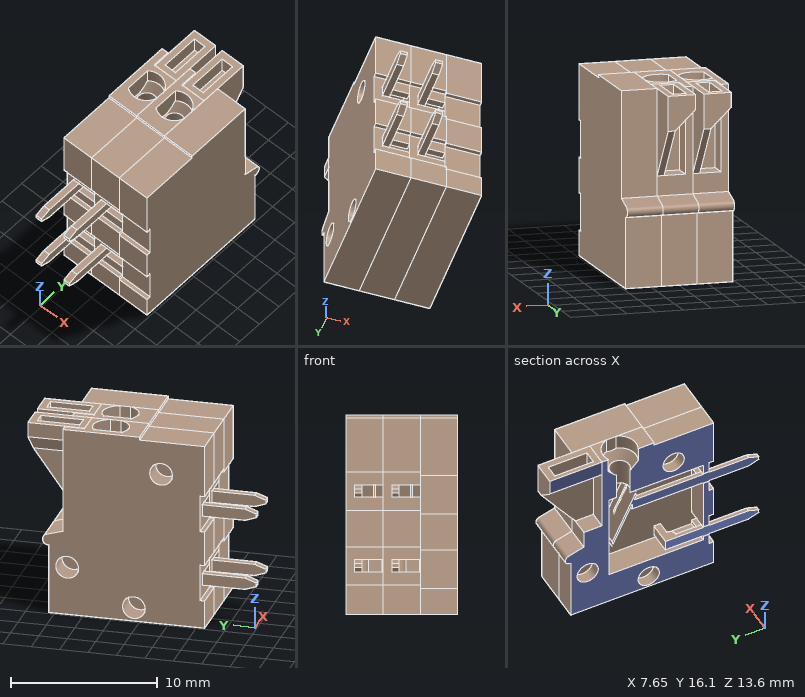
import cadquery as cq
import math


POLE_COUNT = 2
POLE_PITCH = 2.55
HEIGHT = 13.6
TOTAL_LENGTH = 16.09
PIN_REACH = 3.48
BUTTON_BACK = TOTAL_LENGTH - PIN_REACH

LOWER_BACK = 10.99
UPPER_BACK = 9.99
STEP_Y = 4.59
STEP_HEIGHT = 0.21
NOSE_RADIUS = 0.4
NOSE_Y = 11.02
NOSE_Z = 5.37
NOSE_SLOPE = math.radians(16.3)

ROW_COUNT = 2
ROW_PITCH = 5.08
GROOVE_BOTTOM = 2.01
GROOVE_HEIGHT = 2.6
GROOVE_DEPTH = 0.32
END_GROOVE_DROP = 0.23

PEG_HOLE_DIAMETER = 1.6
PEG_HOLE_DEPTH = 1.61
PEG_HOLES = [(3.07, 11.02), (9.69, 3.48), (4.99, 1.0)]

SIDE_WALL = 0.53
CAVITY_FRONT = 0.8
CAVITY_BACK = 8.05
CAVITY_BOTTOM = 2.57
CAVITY_TOP = 9.65

ENTRY_X = 1.34
ENTRY_Y = 6.95
ENTRY_DIAMETER = 2.53
ENTRY_DEPTH = 1.13
WIRE_DIAMETER = 1.46
CONE_DEPTH = 0.68

BUTTON_SIDE = 0.6
BUTTON_FRONT = 8.61
HEAD_HEIGHT = 1.05
HEAD_SLOPE_HEIGHT = 1.4
WEB_INSET = 1.45
BUTTON_BOTTOM = 7.5
SCREWDRIVER_SLOT_X = 1.1
SCREWDRIVER_SLOT_WIDTH = 0.95
SCREWDRIVER_SLOT_Y = 9.09
SCREWDRIVER_SLOT_LENGTH = 2.98
SCREWDRIVER_SLOT_DEPTH = 1.29

PIN_SIDE = 0.6
PIN_THICKNESS = 0.5
PIN_HEIGHT = 0.84
PIN_ROW_Z = 3.33
PIN_TIP_HEIGHT = 0.27
PIN_TAPER = 0.79

PLATE_Y = 3.22
PLATE_END = 2.48
BEND_RADIUS = 0.47

LEAF_SLOPE = math.radians(65)
LEAF_FRONT = 5.95
LEAF_BACK = 7.8
LEAF_THICKNESS = 0.2
LEAF_MID_Y = 6.28
LEAF_SLIT_X = 1.88
LEAF_SLIT_WIDTH = 0.13
LEAF_SLIT_BACK = 7.08


def box(x0, x1, y0, y1, z0, z1):
    """Rectangular block between two limits on each axis."""
    return cq.Workplane("XY").box(x1 - x0, y1 - y0, z1 - z0, centered=False).translate((x0, y0, z0))


def housing_block(groove_drop):
    """Stepped block with a rounded latch nose at the back and grooves across the front."""
    tangent_y = NOSE_Y + NOSE_RADIUS * math.sin(NOSE_SLOPE)
    tangent_z = NOSE_Z + NOSE_RADIUS * math.cos(NOSE_SLOPE)
    nose_top = tangent_z + (tangent_y - UPPER_BACK) * math.tan(NOSE_SLOPE)
    nose_bottom = NOSE_Z - math.sqrt(NOSE_RADIUS**2 - (NOSE_Y - LOWER_BACK) ** 2)
    block = (
        cq.Workplane("YZ")
        .moveTo(0, 0)
        .lineTo(LOWER_BACK, 0)
        .lineTo(LOWER_BACK, nose_bottom)
        .threePointArc((NOSE_Y + NOSE_RADIUS, NOSE_Z), (tangent_y, tangent_z))
        .lineTo(UPPER_BACK, nose_top)
        .lineTo(UPPER_BACK, HEIGHT)
        .lineTo(STEP_Y, HEIGHT)
        .lineTo(STEP_Y, HEIGHT - STEP_HEIGHT)
        .lineTo(0, HEIGHT - STEP_HEIGHT)
        .close()
        .extrude(POLE_PITCH)
    )
    for row in range(ROW_COUNT):
        bottom = GROOVE_BOTTOM - groove_drop + row * ROW_PITCH
        block = block.cut(box(0, POLE_PITCH, 0, GROOVE_DEPTH, bottom, bottom + GROOVE_HEIGHT))
    return block


def wire_entry():
    """Cylinder, cone and bore from the top down into the cavity, kept clear of the side wall."""
    radius = ENTRY_DIAMETER / 2
    bore_radius = WIRE_DIAMETER / 2
    entry = (
        cq.Workplane("XZ")
        .moveTo(0, CAVITY_TOP)
        .lineTo(bore_radius, CAVITY_TOP)
        .lineTo(bore_radius, HEIGHT - ENTRY_DEPTH - CONE_DEPTH)
        .lineTo(radius, HEIGHT - ENTRY_DEPTH)
        .lineTo(radius, HEIGHT)
        .lineTo(0, HEIGHT)
        .close()
        .revolve(360, (0, 0, 0), (0, 1, 0))
        .translate((ENTRY_X, ENTRY_Y, 0))
    )
    return entry.intersect(box(SIDE_WALL, POLE_PITCH, 0, LOWER_BACK, 0, HEIGHT))


def pole_housing():
    """Housing block hollowed out for one button, two pins and the wire."""
    housing = housing_block(0)
    peg_holes = (
        cq.Workplane("YZ").pushPoints(PEG_HOLES).circle(PEG_HOLE_DIAMETER / 2).extrude(PEG_HOLE_DEPTH)
    )
    cavity = box(SIDE_WALL, POLE_PITCH, CAVITY_FRONT, CAVITY_BACK, CAVITY_BOTTOM, CAVITY_TOP)
    button_pocket = box(SIDE_WALL, POLE_PITCH, BUTTON_FRONT, UPPER_BACK, BUTTON_BOTTOM, HEIGHT)
    housing = housing.cut(peg_holes).cut(cavity).cut(button_pocket).cut(wire_entry())
    for row in range(ROW_COUNT):
        bottom = PIN_ROW_Z - PIN_HEIGHT / 2 + row * ROW_PITCH
        pin_slot = box(PIN_SIDE, POLE_PITCH, 0, CAVITY_FRONT, bottom, bottom + PIN_HEIGHT)
        housing = housing.cut(pin_slot)
    return housing


def push_button():
    """Lever with a gusset below its head and a blind screwdriver slot in its top."""
    slope_top = HEIGHT - HEAD_HEIGHT
    slope_bottom = slope_top - HEAD_SLOPE_HEIGHT
    side_shape = (
        cq.Workplane("YZ")
        .moveTo(BUTTON_FRONT, BUTTON_BOTTOM)
        .lineTo(UPPER_BACK, BUTTON_BOTTOM)
        .lineTo(BUTTON_BACK, slope_bottom)
        .lineTo(BUTTON_BACK, HEIGHT)
        .lineTo(BUTTON_FRONT, HEIGHT)
        .close()
        .extrude(POLE_PITCH)
    )
    cross_section = (
        cq.Workplane("XZ")
        .moveTo(BUTTON_SIDE, HEIGHT)
        .lineTo(BUTTON_SIDE, slope_top)
        .lineTo(BUTTON_SIDE + WEB_INSET, slope_bottom)
        .lineTo(BUTTON_SIDE + WEB_INSET, BUTTON_BOTTOM)
        .lineTo(POLE_PITCH, BUTTON_BOTTOM)
        .lineTo(POLE_PITCH, HEIGHT)
        .close()
        .extrude(-BUTTON_BACK)
    )
    screwdriver_slot = box(
        SCREWDRIVER_SLOT_X,
        SCREWDRIVER_SLOT_X + SCREWDRIVER_SLOT_WIDTH,
        SCREWDRIVER_SLOT_Y,
        SCREWDRIVER_SLOT_Y + SCREWDRIVER_SLOT_LENGTH,
        HEIGHT - SCREWDRIVER_SLOT_DEPTH,
        HEIGHT,
    )
    return side_shape.intersect(cross_section).cut(screwdriver_slot)


def pin_blade(back, center_z):
    """Flat blade along Y with a tapered tip."""
    half = PIN_HEIGHT / 2
    half_tip = PIN_TIP_HEIGHT / 2
    return (
        cq.Workplane("YZ")
        .moveTo(back, center_z - half)
        .lineTo(back, center_z + half)
        .lineTo(PIN_TAPER - PIN_REACH, center_z + half)
        .lineTo(-PIN_REACH, center_z + half_tip)
        .lineTo(-PIN_REACH, center_z - half_tip)
        .lineTo(PIN_TAPER - PIN_REACH, center_z - half)
        .close()
        .extrude(PIN_THICKNESS)
        .translate((PIN_SIDE, 0, 0))
    )


def lower_pin():
    """Blade bent into a plate that stands across the cavity."""
    bottom = PIN_ROW_Z - PIN_HEIGHT / 2
    inner_side = PIN_SIDE + PIN_THICKNESS
    plate_back = PLATE_Y + PIN_THICKNESS
    plate = (
        cq.Workplane("XY")
        .moveTo(PIN_SIDE, plate_back)
        .lineTo(PIN_SIDE, PLATE_Y - BEND_RADIUS)
        .lineTo(inner_side, PLATE_Y - BEND_RADIUS)
        .radiusArc((inner_side + BEND_RADIUS, PLATE_Y), -BEND_RADIUS)
        .lineTo(PLATE_END, PLATE_Y)
        .lineTo(PLATE_END, plate_back)
        .close()
        .extrude(PIN_HEIGHT)
        .translate((0, 0, bottom))
    )
    return pin_blade(PLATE_Y, PIN_ROW_Z).union(plate)


def upper_pin():
    """Blade that carries an inclined, slit leaf below the wire entry."""
    center_z = PIN_ROW_Z + ROW_PITCH
    front_z = center_z + (LEAF_MID_Y - LEAF_FRONT) * math.tan(LEAF_SLOPE)
    back_z = center_z - (LEAF_BACK - LEAF_MID_Y) * math.tan(LEAF_SLOPE)
    rise = LEAF_THICKNESS / math.cos(LEAF_SLOPE)
    leaf = (
        cq.Workplane("YZ")
        .moveTo(LEAF_FRONT, front_z)
        .lineTo(LEAF_BACK, back_z)
        .lineTo(LEAF_BACK, back_z + rise)
        .lineTo(LEAF_FRONT, front_z + rise)
        .close()
        .extrude(POLE_PITCH - PIN_SIDE)
        .translate((PIN_SIDE, 0, 0))
    )
    slit = box(
        LEAF_SLIT_X, LEAF_SLIT_X + LEAF_SLIT_WIDTH, LEAF_FRONT, LEAF_SLIT_BACK, CAVITY_BOTTOM, CAVITY_TOP
    )
    return pin_blade(LEAF_MID_Y, center_z).union(leaf.cut(slit))


bodies = []
for pole in range(POLE_COUNT):
    for part in (pole_housing(), push_button(), lower_pin(), upper_pin()):
        bodies.append(part.translate((pole * POLE_PITCH, 0, 0)).val())

end_plate = housing_block(END_GROOVE_DROP).translate((POLE_COUNT * POLE_PITCH, 0, 0))
bodies.append(end_plate.val())

result = cq.Compound.makeCompound(bodies)